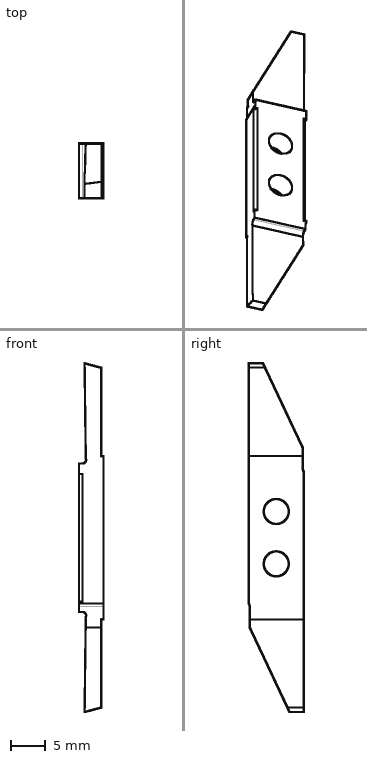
import cadquery as cq
import math

thickness = 3.6
width = 8.0
length = 50.5
front_x = -thickness / 2
back_x = thickness / 2
half_width = width / 2
half_length = length / 2

blade_front_root_x = -0.8
blade_front_tip_x = -0.985
blade_back_x = 1.45
tip_bevel_drop = 0.65
back_step_z = 11.8
shoulder_z = 10.75
relief_radius = 0.5
relief_start_x = -1.25

blade_inset = 0.125
step_start_z = 9.55
step_end_z = 9.95
taper_start_z = 13.0
tip_width = 2.05

chamfer_depth = 0.5
chamfer_width = 0.45
chamfer_length = 18.5
hole_diameter = 3.6
hole_spacing = 7.6


def side_profile():
    """Thickness profile in XZ, with a round relief at each shoulder."""
    relief_z = shoulder_z + relief_radius
    relief_end_z = relief_z + math.sqrt(
        relief_radius**2 - (blade_front_root_x - relief_start_x) ** 2
    )
    deepest_x = relief_start_x + relief_radius
    bevel_z = half_length - tip_bevel_drop
    return (
        cq.Workplane("XZ")
        .moveTo(front_x, -shoulder_z)
        .lineTo(front_x, shoulder_z)
        .lineTo(relief_start_x, shoulder_z)
        .threePointArc((deepest_x, relief_z), (blade_front_root_x, relief_end_z))
        .lineTo(blade_front_tip_x, half_length)
        .lineTo(blade_back_x, bevel_z)
        .lineTo(blade_back_x, back_step_z)
        .lineTo(back_x, back_step_z)
        .lineTo(back_x, -back_step_z)
        .lineTo(blade_back_x, -back_step_z)
        .lineTo(blade_back_x, -bevel_z)
        .lineTo(blade_front_tip_x, -half_length)
        .lineTo(blade_front_root_x, -relief_end_z)
        .threePointArc((deepest_x, -relief_z), (relief_start_x, -shoulder_z))
        .close()
        .extrude(half_width, both=True)
    )


def face_outline():
    """Outline in YZ; the second half is the first turned 180 degrees about X."""
    blade_y = half_width - blade_inset
    step_length = step_end_z - step_start_z
    step_radius = (step_length**2 + blade_inset**2) / (2 * blade_inset)
    half_angle = math.asin(step_length / step_radius) / 2
    step_mid_y = blade_y + step_radius * (1 - math.cos(half_angle))
    step_mid_z = step_end_z - step_radius * math.sin(half_angle)

    outline = cq.Workplane("YZ").moveTo(-half_width, half_length)
    for turn in (1, -1):
        outline = (
            outline.lineTo(turn * (tip_width - half_width), turn * half_length)
            .lineTo(turn * blade_y, turn * taper_start_z)
            .lineTo(turn * blade_y, turn * step_end_z)
            .threePointArc(
                (turn * step_mid_y, turn * step_mid_z),
                (turn * half_width, turn * step_start_z),
            )
            .lineTo(turn * half_width, -turn * half_length)
        )
    return outline.close().extrude(thickness, both=True)


def edge_chamfer_cut(side):
    """Triangular bar removed from a long front edge; side is +1 or -1 in Y."""
    edge_y = side * half_width
    return (
        cq.Workplane("XY")
        .workplane(offset=-chamfer_length / 2)
        .moveTo(front_x, edge_y)
        .lineTo(front_x + chamfer_depth, edge_y)
        .lineTo(front_x, edge_y - side * chamfer_width)
        .close()
        .extrude(chamfer_length)
    )


def mounting_holes():
    """Two through holes along X, spaced evenly about the centre."""
    return (
        cq.Workplane("YZ")
        .pushPoints([(0, hole_spacing / 2), (0, -hole_spacing / 2)])
        .circle(hole_diameter / 2)
        .extrude(thickness, both=True)
    )


body = side_profile().intersect(face_outline())
for side in (1, -1):
    body = body.cut(edge_chamfer_cut(side))
result = body.cut(mounting_holes())